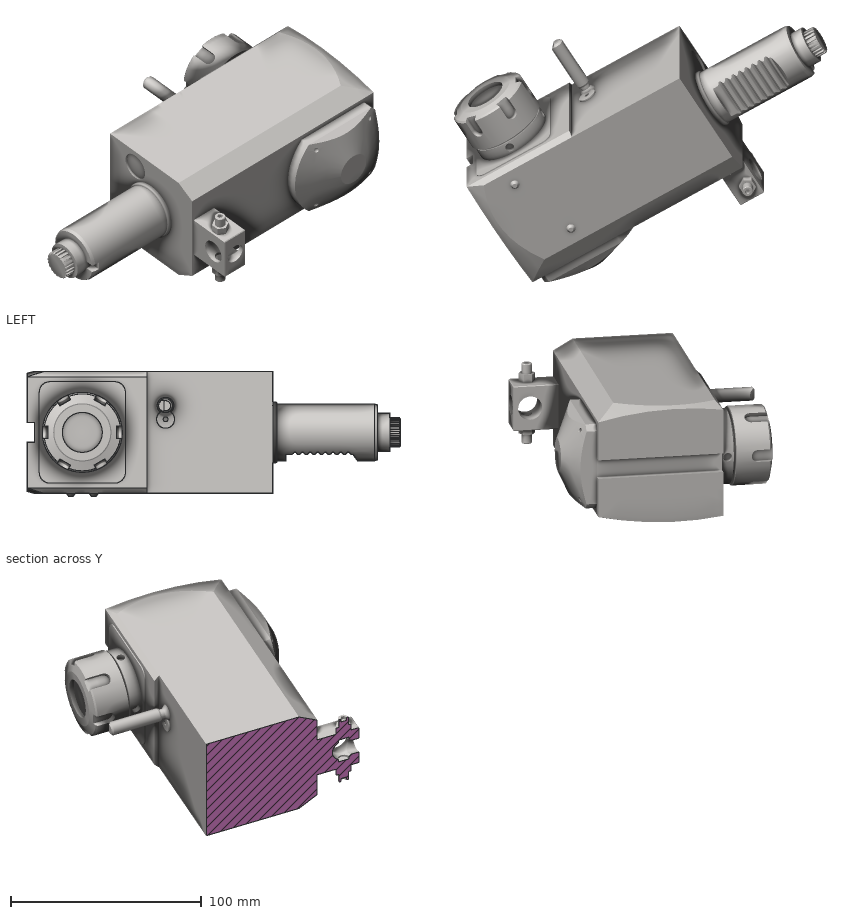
import cadquery as cq
import math


BODY_HALF = 32.0
BODY_LENGTH = 129.0
RIGHT_BEVEL_WIDTH = 10.6
RIGHT_BEVEL_HEIGHT = 6.0
PLATE_THICKNESS = 2.8
PLATE_START = 66.0
CROWN_CENTRE_X = -9.6
CROWN_ANGLE = 15.0
KEYWAY_WIDTH = 10.2
KEYWAY_DEPTH = 3.8
PORT_X = -12.3
PORT_Z = 21.6
PORT_RADIUS = 7.6
PORT_DEPTH = 1.2

SPINDLE_Y = 100.0
PAD_LENGTH = 45.2
PAD_HEIGHT = 53.2
PAD_THICKNESS = 0.6
PAD_CORNER = 5.5
COLLAR_RADIUS = 20.0
COLLAR_START_X = -42.1
COLLAR_HOLE_X = -38.9
COLLAR_HOLE_RADIUS = 2.3
COLLAR_HOLE_DEPTH = 3.0
COLLAR_HOLE_COUNT = 4
NECK_RADIUS = 16.5
NUT_BACK_X = -43.4
NUT_FRONT_X = -63.7
NUT_RADIUS = 21.0
NUT_RIM_RADIUS = 20.2
NUT_FACE_RADIUS = 15.0
NUT_CONE_LENGTH = 1.5
NUT_RIM_LENGTH = 0.8
COLLET_RADIUS = 10.5
COLLET_DEPTH = 2.5
NUT_SLOT_COUNT = 6
NUT_SLOT_WIDTH = 6.5
NUT_SLOT_FLOOR = 18.0
UPPER_SLOT_END_X = -49.6
LOWER_SLOT_END_X = -51.6

CAP_RADIUS = 32.0
CAP_RIM_X = 37.5
CAP_TIP_RADIUS = 9.0
CAP_TIP_X = 48.1
CAP_HALF_HEIGHT = 23.1
CAP_FLAT_TILT = 20.0
CAP_END_Y = 125.0
CAP_HOLE_OFFSET = 19.0
CAP_HOLE_RADIUS = 1.25
CAP_HOLE_FLOOR_X = 37.0

FLANGE_RADIUS = 16.0
FLANGE_LENGTH = 2.2
FLANGE_ROUNDING = 1.0
SHANK_RADIUS = 15.0
SHANK_LENGTH = 55.0
SHANK_CHAMFER_LENGTH = 1.7
SHANK_CHAMFER_DEPTH = 0.6
DRIVE_RADIUS = 10.1
DRIVE_END = 61.4
SPLINE_END = 67.0
SPLINE_ROOT_RADIUS = 6.7
SPLINE_TIP_RADIUS = 7.7
SPLINE_CHAMFER = 0.6
SPLINE_TEETH = 20
SPLINE_TOOTH_WIDTH = 1.1
NOTCH_WIDTH = 4.6
NOTCH_DEPTH = 4.2
RACK_START = 6.8
RACK_END = 42.2
RACK_RAMP = 2.4
RACK_FLAT_Z = -11.7
RACK_ROOT_Z = -10.5
RACK_PITCH = 4.0
RACK_GROOVES = 8
RACK_FIRST_GROOVE = 11.6
RACK_ROOT_WIDTH = 0.8
RACK_MOUTH_WIDTH = 3.2

BRACKET_END_X = 56.0
BRACKET_START_Y = 1.3
BRACKET_END_Y = 15.9
BRACKET_HALF_HEIGHT = 12.3
BRACKET_CHAMFER = 0.4
BORE_X = 47.1
BORE_RADIUS = 6.4
CROSS_BORE_RADIUS = 5.3
SCREW_Y = 6.1
SCREW_RADIUS = 2.8
SCREW_CHAMFER = 0.3
SCREW_END_Z = 21.9
SCREW_SETBACK = 1.0
SCREW_SOCKET_ACROSS = 3.0
SCREW_SOCKET_DEPTH = 2.0
NUT_ACROSS_CORNERS = 8.9
NUT_TOP_Z = 16.5

NOZZLE_Y = 56.3
NOZZLE_Z = 14.0
NOZZLE_TIP_X = -64.88
NOZZLE_RADIUS = 3.65
NOZZLE_CHAMFER = 1.0
NOZZLE_BACK_X = -37.2
NOZZLE_STEP_RADIUS = 3.2
NOZZLE_STEP_X = -36.2
NOZZLE_NECK_RADIUS = 2.6
NOZZLE_FLARE_X = -34.0
NOZZLE_FLARE_RADIUS = 4.4
NOZZLE_BEVEL_Y = 0.8
LOCK_SCREW_Z = 6.9
LOCK_SCREW_RADIUS = 4.7
LOCK_SCREW_HEIGHT = 1.0
LOCK_SOCKET_ACROSS = 2.8
NIPPLE_PLACES = [(-23.9, 106.0), (13.2, 94.0)]
NIPPLE_HEIGHT = 1.6
NIPPLE_BASE_RADIUS = 2.4
NIPPLE_TIP_RADIUS = 1.2

EMBED = 2.0


def box(x0, x1, y0, y1, z0, z1):
    """Box between two opposite corners."""
    return cq.Workplane("XY").box(x1 - x0, y1 - y0, z1 - z0, centered=False).translate((x0, y0, z0))


def extrude_y(points, y0, y1):
    """Prism along Y from an outline of (x, z) points."""
    return cq.Workplane("XZ", origin=(0, y0, 0)).polyline(points).close().extrude(y0 - y1)


def turn_x(profile, y, z):
    """Body of revolution about the line parallel to X through (y, z), from (x, radius) points."""
    turned = cq.Workplane("XY").polyline(profile).close().revolve(360, (0, 0, 0), (1, 0, 0))
    return turned.translate((0, y, z))


def cylinder_x(radius, x0, x1, y, z):
    """Cylinder along X."""
    return cq.Workplane("YZ", origin=(x0, y, z)).circle(radius).extrude(x1 - x0)


def cylinder_y(radius, y0, y1, x=0, z=0):
    """Cylinder along Y."""
    return cq.Workplane("XZ", origin=(x, y0, z)).circle(radius).extrude(y0 - y1)


def chamfered_cylinder(radius, y0, y1, length, depth):
    """Cylinder on the Y axis whose end at y0 has a chamfer of the given length and radial depth."""
    profile = [(0, y0), (radius - depth, y0), (radius, y0 + length), (radius, y1), (0, y1)]
    return cq.Workplane("XY").polyline(profile).close().revolve(360, (0, 0, 0), (0, 1, 0))


def mirror_z(piece):
    """The piece together with its mirror image below the XY plane."""
    return piece.union(piece.mirror("XY"))


def make_crown(left, right):
    """Cone along Y whose arc on the housing's rear end passes through two (x, z) corners."""
    (xl, zl), (xr, zr) = left, right
    xc = CROWN_CENTRE_X
    zc = ((xl - xc) ** 2 + zl ** 2 - (xr - xc) ** 2 - zr ** 2) / (2 * (zl - zr))
    rear_radius = math.hypot(xl - xc, zl - zc)
    front_radius = rear_radius + BODY_LENGTH * math.tan(math.radians(CROWN_ANGLE))
    profile = [(0, 0), (front_radius, 0), (rear_radius, BODY_LENGTH), (0, BODY_LENGTH)]
    cone = cq.Workplane("XY").polyline(profile).close().revolve(360, (0, 0, 0), (0, 1, 0))
    return cone.translate((xc, 0, zc))


def make_housing():
    h = BODY_HALF
    bevel_x = h - RIGHT_BEVEL_WIDTH
    bevel_z = h - RIGHT_BEVEL_HEIGHT
    plate_x = -h - PLATE_THICKNESS
    plate_z = h - PLATE_THICKNESS
    outline = [(-h, -h), (bevel_x, -h), (h, -bevel_z), (h, bevel_z), (bevel_x, h), (-h, h)]
    plate = [(-h, -h), (-h, h), (plate_x, plate_z), (plate_x, -plate_z)]
    housing = extrude_y(outline, 0, BODY_LENGTH).union(extrude_y(plate, PLATE_START, BODY_LENGTH))

    crown = make_crown((plate_x, plate_z), (h, bevel_z))
    housing = housing.intersect(crown).intersect(crown.mirror("XY"))

    key = KEYWAY_WIDTH / 2
    keyway = box(plate_x, h, BODY_LENGTH - KEYWAY_DEPTH, BODY_LENGTH, -key, key)
    port = cylinder_y(PORT_RADIUS, 0, PORT_DEPTH, PORT_X, PORT_Z)
    return housing.cut(keyway).cut(port)


def make_pad():
    back_x = -BODY_HALF - PLATE_THICKNESS
    pad = cq.Workplane("YZ", origin=(back_x - PAD_THICKNESS, SPINDLE_Y, 0)).rect(PAD_LENGTH, PAD_HEIGHT)
    return pad.extrude(PAD_THICKNESS + EMBED).edges("|X").fillet(PAD_CORNER)


def make_nut_slot(angle, end_x):
    """Spanner slot open at the nut's front, with a round inner end at end_x.

    The angle is measured from +Z about the spindle axis.
    """
    half = NUT_SLOT_WIDTH / 2
    centre_x = end_x - half
    sketch = cq.Workplane("XY", origin=(0, 0, NUT_SLOT_FLOOR)).moveTo(NUT_FRONT_X, -half)
    sketch = sketch.lineTo(centre_x, -half).threePointArc((end_x, 0), (centre_x, half))
    slot = sketch.lineTo(NUT_FRONT_X, half).close().extrude(NUT_RADIUS)
    return slot.rotate((0, 0, 0), (1, 0, 0), angle).translate((0, SPINDLE_Y, 0))


def make_spindle():
    root_x = -BODY_HALF
    cone_x = NUT_FRONT_X + NUT_CONE_LENGTH
    profile = [
        (root_x, 0), (root_x, COLLAR_RADIUS), (COLLAR_START_X, COLLAR_RADIUS),
        (COLLAR_START_X, NECK_RADIUS), (NUT_BACK_X, NECK_RADIUS), (NUT_BACK_X, NUT_RADIUS),
        (cone_x + NUT_RIM_LENGTH, NUT_RADIUS), (cone_x, NUT_RIM_RADIUS),
        (NUT_FRONT_X, NUT_FACE_RADIUS), (NUT_FRONT_X, 0),
    ]
    spindle = turn_x(profile, SPINDLE_Y, 0)
    spindle = spindle.cut(cylinder_x(COLLET_RADIUS, NUT_FRONT_X, NUT_FRONT_X + COLLET_DEPTH, SPINDLE_Y, 0))
    for i in range(NUT_SLOT_COUNT):
        angle = (i + 0.5) * 360 / NUT_SLOT_COUNT
        is_upper = i in (0, NUT_SLOT_COUNT - 1)
        spindle = spindle.cut(make_nut_slot(angle, UPPER_SLOT_END_X if is_upper else LOWER_SLOT_END_X))
    hole_floor = COLLAR_RADIUS - COLLAR_HOLE_DEPTH
    for i in range(COLLAR_HOLE_COUNT):
        hole = cq.Workplane("XY", origin=(COLLAR_HOLE_X, 0, hole_floor)).circle(COLLAR_HOLE_RADIUS)
        hole = hole.extrude(COLLAR_HOLE_DEPTH).rotate((0, 0, 0), (1, 0, 0), i * 360 / COLLAR_HOLE_COUNT)
        spindle = spindle.cut(hole.translate((0, SPINDLE_Y, 0)))
    return spindle


def make_cap():
    root_x = BODY_HALF - EMBED
    profile = [(root_x, 0), (root_x, CAP_RADIUS), (CAP_RIM_X, CAP_RADIUS),
               (CAP_TIP_X, CAP_TIP_RADIUS), (CAP_TIP_X, 0)]
    cap = turn_x(profile, SPINDLE_Y, 0)
    h = CAP_HALF_HEIGHT
    tip_h = h - (CAP_TIP_X - CAP_RIM_X) * math.tan(math.radians(CAP_FLAT_TILT))
    flats = [(root_x, -h), (CAP_RIM_X, -h), (CAP_TIP_X, -tip_h),
             (CAP_TIP_X, tip_h), (CAP_RIM_X, h), (root_x, h)]
    cap = cap.intersect(extrude_y(flats, SPINDLE_Y - CAP_RADIUS, CAP_END_Y))
    for side_y in (-1, 1):
        for side_z in (-1, 1):
            y = SPINDLE_Y + side_y * CAP_HOLE_OFFSET
            z = side_z * CAP_HOLE_OFFSET
            cap = cap.cut(cylinder_x(CAP_HOLE_RADIUS, CAP_HOLE_FLOOR_X, CAP_TIP_X, y, z))
    return cap


def make_rack():
    """Clearance for the clamping rack under the shank, an outline in YZ cut across the full width."""
    below = -SHANK_RADIUS
    sketch = cq.Workplane("YZ", origin=(-SHANK_RADIUS, 0, 0)).moveTo(-RACK_START, below)
    sketch = sketch.lineTo(-RACK_START, RACK_FLAT_Z)
    for i in range(RACK_GROOVES):
        y = -RACK_FIRST_GROOVE - i * RACK_PITCH
        sketch = sketch.lineTo(y + RACK_MOUTH_WIDTH / 2, RACK_FLAT_Z)
        sketch = sketch.lineTo(y + RACK_ROOT_WIDTH / 2, RACK_ROOT_Z)
        sketch = sketch.lineTo(y - RACK_ROOT_WIDTH / 2, RACK_ROOT_Z)
        sketch = sketch.lineTo(y - RACK_MOUTH_WIDTH / 2, RACK_FLAT_Z)
    sketch = sketch.lineTo(-RACK_END, RACK_FLAT_Z).lineTo(-RACK_END - RACK_RAMP, below)
    return sketch.close().extrude(2 * SHANK_RADIUS)


def make_spline():
    spline = cylinder_y(SPLINE_ROOT_RADIUS, -SPLINE_END, -DRIVE_END + EMBED)
    half = SPLINE_TOOTH_WIDTH / 2
    for i in range(SPLINE_TEETH):
        tooth = box(-half, half, -SPLINE_END, -DRIVE_END + EMBED, 0, SPLINE_TIP_RADIUS)
        spline = spline.union(tooth.rotate((0, 0, 0), (0, 1, 0), i * 360 / SPLINE_TEETH))
    envelope = chamfered_cylinder(SPLINE_TIP_RADIUS, -SPLINE_END, -DRIVE_END + EMBED,
                                  SPLINE_CHAMFER, SPLINE_CHAMFER)
    return spline.intersect(envelope)


def make_shank():
    shank = chamfered_cylinder(SHANK_RADIUS, -SHANK_LENGTH, -FLANGE_LENGTH + EMBED,
                               SHANK_CHAMFER_LENGTH, SHANK_CHAMFER_DEPTH)
    notch = NOTCH_WIDTH / 2
    shank = shank.cut(box(DRIVE_RADIUS, SHANK_RADIUS, -SHANK_LENGTH, -SHANK_LENGTH + NOTCH_DEPTH,
                          -notch, notch))
    shank = shank.cut(make_rack())
    flange = cylinder_y(FLANGE_RADIUS, -FLANGE_LENGTH, EMBED).faces("<Y").edges().fillet(FLANGE_ROUNDING)
    shank = shank.union(flange)
    shank = shank.union(cylinder_y(DRIVE_RADIUS, -DRIVE_END, -SHANK_LENGTH + EMBED))
    return shank.union(make_spline())


def make_set_screw():
    """Upper set screw with its lock nut."""
    start_z = BORE_RADIUS + SCREW_SETBACK
    screw = cq.Workplane("XY", origin=(BORE_X, SCREW_Y, start_z)).circle(SCREW_RADIUS)
    screw = screw.extrude(SCREW_END_Z - start_z).faces(">Z").chamfer(SCREW_CHAMFER)
    nut = cq.Workplane("XY", origin=(BORE_X, SCREW_Y, BRACKET_HALF_HEIGHT)).polygon(6, NUT_ACROSS_CORNERS)
    nut = nut.extrude(NUT_TOP_Z - BRACKET_HALF_HEIGHT)
    socket = cq.Workplane("XY", origin=(BORE_X, SCREW_Y, SCREW_END_Z)).polygon(6, SCREW_SOCKET_ACROSS)
    return screw.union(nut).cut(socket.extrude(-SCREW_SOCKET_DEPTH))


def make_bracket():
    root_x = BODY_HALF - EMBED
    bracket = box(root_x, BRACKET_END_X, BRACKET_START_Y, BRACKET_END_Y,
                  -BRACKET_HALF_HEIGHT, BRACKET_HALF_HEIGHT)
    bracket = bracket.faces(">X or <Y or >Y").chamfer(BRACKET_CHAMFER)
    bracket = bracket.cut(cylinder_y(BORE_RADIUS, BRACKET_START_Y, BRACKET_END_Y, BORE_X))
    middle_y = (BRACKET_START_Y + BRACKET_END_Y) / 2
    bracket = bracket.cut(cylinder_x(CROSS_BORE_RADIUS, BORE_X, BRACKET_END_X, middle_y, 0))
    screw_hole = cq.Workplane("XY", origin=(BORE_X, SCREW_Y, -BRACKET_HALF_HEIGHT)).circle(SCREW_RADIUS)
    bracket = bracket.cut(screw_hole.extrude(2 * BRACKET_HALF_HEIGHT))
    return bracket.union(mirror_z(make_set_screw()))


def make_nozzle():
    root_x = -BODY_HALF + EMBED
    profile = [
        (root_x, 0), (root_x, NOZZLE_FLARE_RADIUS), (-BODY_HALF, NOZZLE_FLARE_RADIUS),
        (NOZZLE_FLARE_X, NOZZLE_NECK_RADIUS), (NOZZLE_STEP_X, NOZZLE_NECK_RADIUS),
        (NOZZLE_STEP_X, NOZZLE_STEP_RADIUS), (NOZZLE_BACK_X, NOZZLE_RADIUS),
        (NOZZLE_TIP_X + NOZZLE_CHAMFER, NOZZLE_RADIUS),
        (NOZZLE_TIP_X, NOZZLE_RADIUS - NOZZLE_CHAMFER), (NOZZLE_TIP_X, 0),
    ]
    nozzle = turn_x(profile, NOZZLE_Y, NOZZLE_Z)
    bevel = NOZZLE_RADIUS - NOZZLE_BEVEL_Y
    top_y = NOZZLE_Y + NOZZLE_RADIUS
    wedge = cq.Workplane("XY", origin=(0, 0, NOZZLE_Z - NOZZLE_RADIUS)).polyline([
        (NOZZLE_TIP_X, top_y - bevel), (NOZZLE_TIP_X + bevel, top_y), (NOZZLE_TIP_X, top_y)])
    return nozzle.cut(wedge.close().extrude(2 * NOZZLE_RADIUS))


def make_lock_screw():
    top_x = -BODY_HALF - LOCK_SCREW_HEIGHT
    screw = cylinder_x(LOCK_SCREW_RADIUS, top_x, -BODY_HALF + EMBED, NOZZLE_Y, LOCK_SCREW_Z)
    socket = cq.Workplane("YZ", origin=(top_x, NOZZLE_Y, LOCK_SCREW_Z)).polygon(6, LOCK_SOCKET_ACROSS)
    return screw.cut(socket.extrude(LOCK_SCREW_HEIGHT))


def make_nipple(x, y):
    nipple = cq.Workplane("XY", origin=(x, y, -BODY_HALF)).circle(NIPPLE_BASE_RADIUS)
    nipple = nipple.workplane(offset=-NIPPLE_HEIGHT).circle(NIPPLE_TIP_RADIUS).loft(ruled=True)
    return nipple


result = make_housing()
for piece in (make_pad(), make_spindle(), make_cap(), make_shank(), make_bracket(),
              make_lock_screw(), make_nozzle()):
    result = result.union(piece)
for nipple_x, nipple_y in NIPPLE_PLACES:
    result = result.union(make_nipple(nipple_x, nipple_y))